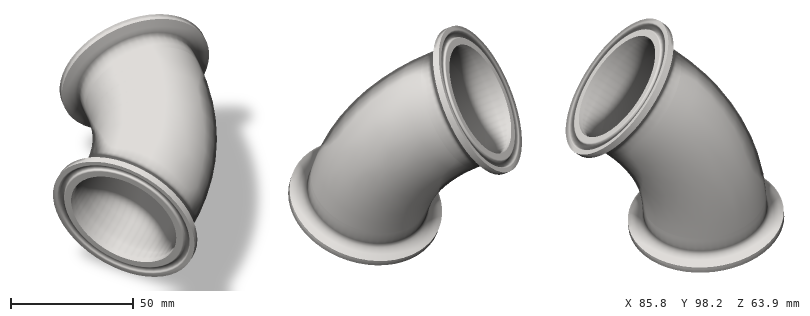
import cadquery as cq
import math

tube_diameter = 50.8
bore_diameter = 47.5
bend_radius = 76.2
bend_angle = 45.0
ferrule_length = 12.7

flange_diameter = 63.91
rim_thickness = 2.8
clamp_slope = 20.0
neck_fillet = 1.25

groove_diameter = 56.65
groove_width = 3.6
groove_bottom_radius = 1.1
groove_lip_radius = 0.6
groove_wall_slope = 20.0

tube_radius = tube_diameter / 2
bore_radius = bore_diameter / 2
flange_radius = flange_diameter / 2
groove_radius = groove_diameter / 2
bend_center = (-bend_radius, ferrule_length)


def gasket_groove():
    """Ring with a round bottom, sloped walls and rounded lips, cut into the face at Y = 0."""
    slope = math.radians(groove_wall_slope)
    lip_turn = math.pi / 2 - slope

    mouth = groove_width / 2
    lip_middle = mouth - groove_lip_radius * math.sin(lip_turn / 2)
    lip_middle_depth = groove_lip_radius * (1 - math.cos(lip_turn / 2))
    lip_end = mouth - groove_lip_radius * math.cos(slope)
    lip_end_depth = groove_lip_radius * (1 - math.sin(slope))
    wall_end = groove_bottom_radius * math.cos(slope)
    wall_end_depth = lip_end_depth + (lip_end - wall_end) / math.tan(slope)
    bottom_depth = wall_end_depth + groove_bottom_radius * (1 - math.sin(slope))

    section = (
        cq.Workplane("XY")
        .moveTo(groove_radius - mouth, 0)
        .threePointArc(
            (groove_radius - lip_middle, lip_middle_depth),
            (groove_radius - lip_end, lip_end_depth),
        )
        .lineTo(groove_radius - wall_end, wall_end_depth)
        .threePointArc((groove_radius, bottom_depth), (groove_radius + wall_end, wall_end_depth))
        .lineTo(groove_radius + lip_end, lip_end_depth)
        .threePointArc((groove_radius + lip_middle, lip_middle_depth), (groove_radius + mouth, 0))
        .close()
    )
    return section.revolve(360, (0, 0), (0, 1))


def ferrule():
    """Straight clamp ferrule along +Y with its sealing face at Y = 0."""
    slope = math.radians(clamp_slope)
    neck_y = rim_thickness + (flange_radius - tube_radius) * math.tan(slope)

    turn = math.pi / 2 - slope
    tangent_length = neck_fillet * math.tan(turn / 2)
    cone_end = (tube_radius + tangent_length * math.cos(slope), neck_y - tangent_length * math.sin(slope))
    fillet_end = (tube_radius, neck_y + tangent_length)
    fillet_middle = (
        tube_radius + neck_fillet * (1 - math.cos(turn / 2)),
        fillet_end[1] - neck_fillet * math.sin(turn / 2),
    )

    section = (
        cq.Workplane("XY")
        .moveTo(bore_radius, 0)
        .lineTo(flange_radius, 0)
        .lineTo(flange_radius, rim_thickness)
        .lineTo(*cone_end)
        .threePointArc(fillet_middle, fillet_end)
        .lineTo(tube_radius, ferrule_length)
        .lineTo(bore_radius, ferrule_length)
        .close()
    )
    return section.revolve(360, (0, 0), (0, 1)).cut(gasket_groove())


def bend():
    """Tube elbow from the end of the first ferrule, curving from +Y toward -X."""
    return (
        cq.Workplane("XZ", origin=(0, ferrule_length, 0))
        .circle(tube_radius)
        .circle(bore_radius)
        .revolve(bend_angle, (-bend_radius, 0), (-bend_radius, 1))
    )


def far_ferrule(near):
    """The near ferrule mirrored across the bend start and swung round the bend."""
    mirrored = near.mirror("XZ", (0, ferrule_length, 0))
    return mirrored.rotate((*bend_center, 0), (*bend_center, 1), bend_angle)


near_ferrule = ferrule()
result = near_ferrule.union(bend()).union(far_ferrule(near_ferrule))